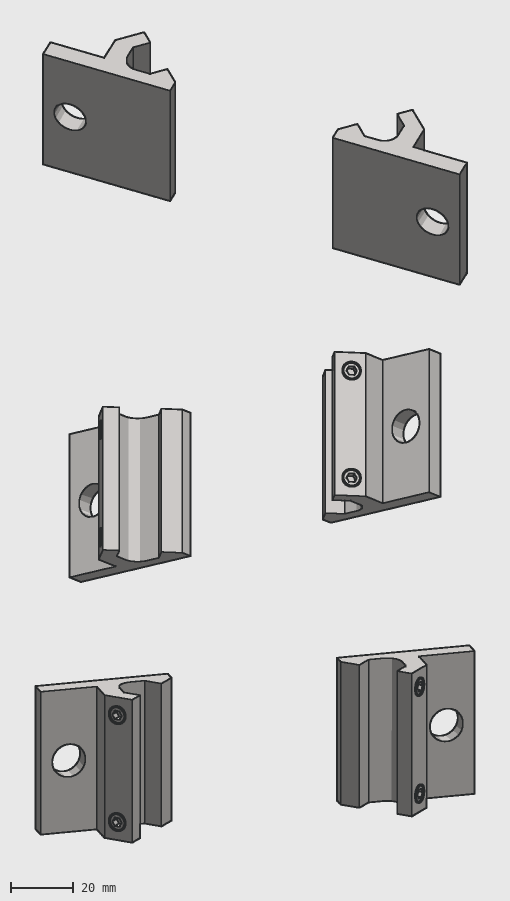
import cadquery as cq
import math

overall_length = 144.0
height = 48.0

plate_width = 43.9
plate_thickness = 6.0
mount_hole_diameter = 11.0
mount_hole_edge_distance = 9.4

wall_outer = 18.6
wall_inner = 25.2
wall_top = 15.0
arm_top = 22.0
arm_end_run = 3.7

channel_floor = 4.8
channel_radius = 4.9
lip_edge_height = 4.3
lip_peak_height = 9.0

socket_end_distance = 6.0
socket_center_height = 18.1
socket_across_flats = 2.9
socket_depth = 2.9
groove_outer_diameter = 6.0
groove_inner_diameter = 5.2
groove_depth = 0.3

arm_rise = arm_top - wall_top
arm_tip = wall_outer + arm_rise
arm_end = arm_tip + arm_end_run
arm_end_height = arm_top - arm_end_run
wall_inner_top = arm_end_height - (arm_end - wall_inner)
lip_peak = plate_width - (lip_peak_height - lip_edge_height)
lip_foot = lip_peak - (lip_peak_height - channel_floor)


def clip_body():
    """Constant clip profile in XY, extruded along the height."""
    fillet_middle = channel_radius * (1 - math.sqrt(0.5))
    return (
        cq.Workplane("XY")
        .moveTo(0, 0)
        .lineTo(plate_width, 0)
        .lineTo(plate_width, lip_edge_height)
        .lineTo(lip_peak, lip_peak_height)
        .lineTo(lip_foot, channel_floor)
        .lineTo(wall_inner + channel_radius, channel_floor)
        .threePointArc(
            (wall_inner + fillet_middle, channel_floor + fillet_middle),
            (wall_inner, channel_floor + channel_radius),
        )
        .lineTo(wall_inner, wall_inner_top)
        .lineTo(arm_end, arm_end_height)
        .lineTo(arm_tip, arm_top)
        .lineTo(wall_outer, wall_top)
        .lineTo(wall_outer, plate_thickness)
        .lineTo(0, plate_thickness)
        .close()
        .extrude(height)
    )


def cut_mount_hole(body):
    """Plain hole through the plate, at mid height."""
    cutter = (
        cq.Workplane("XZ", origin=(mount_hole_edge_distance, 0, height / 2))
        .circle(mount_hole_diameter / 2)
        .extrude(-plate_thickness)
    )
    return body.cut(cutter)


def cut_sockets(body):
    """Two blind hexagon sockets and their ring grooves in the arm's sloping face."""
    socket_center_x = wall_outer + (socket_center_height - wall_top)
    arm_face = cq.Plane(
        origin=(socket_center_x, socket_center_height, 0),
        xDir=(1, 1, 0),
        normal=(-1, 1, 0),
    )
    centers = [(0, -socket_end_distance), (0, socket_end_distance - height)]
    socket_across_corners = socket_across_flats / math.cos(math.pi / 6)
    face = cq.Workplane(arm_face).pushPoints(centers)
    sockets = face.polygon(6, socket_across_corners).extrude(-socket_depth)
    grooves = (
        face.circle(groove_outer_diameter / 2)
        .circle(groove_inner_diameter / 2)
        .extrude(-groove_depth)
    )
    return body.cut(sockets).cut(grooves)


def clip():
    """Left-hand clip, its plate edge at the left end of the assembly."""
    body = cut_sockets(cut_mount_hole(clip_body()))
    return body.translate((-overall_length / 2, 0, 0))


left_clip = clip()
right_clip = left_clip.mirror("YZ")

result = cq.Compound.makeCompound([left_clip.val(), right_clip.val()])